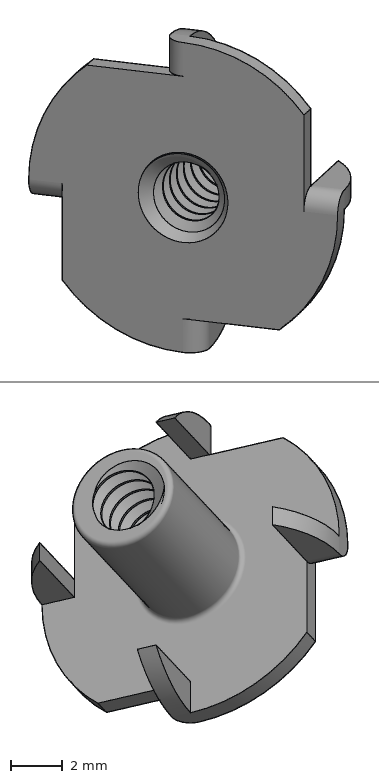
import cadquery as cq
import math

flange_radius = 6.35
sheet = 0.8
edge_offset = 4.97
prong_end = 3.96
prong_arc_radius = 4.32

barrel_length = 7.14
barrel_radius = 2.16
barrel_fillet = 0.2

minor_radius = 1.23
mouth_radius = 1.84
countersink_depth = mouth_radius - minor_radius
pitch = 0.8
crest_flat = 0.1
thread_phase = 30.0
thread_lead_in = pitch
thread_overlap = 0.03
flank_slope = math.tan(math.radians(30))


def about_axis(shape, angle):
    """Turn a shape about the part's Y axis."""
    return shape.rotate((0, 0, 0), (0, 1, 0), angle)


def edge_notch():
    """Material removed from the upper left quarter of the disc."""
    return cq.Workplane("XY").box(
        flange_radius, sheet, flange_radius, centered=False
    ).translate((-flange_radius, 0, edge_offset))


def prong():
    """Top prong: a tapered blade joined to the flange by a quarter-round bend."""
    blade = (
        cq.Workplane("YZ")
        .moveTo(0, edge_offset)
        .lineTo(prong_end, edge_offset)
        .radiusArc((sheet, flange_radius), -prong_arc_radius)
        .lineTo(0, flange_radius)
        .close()
        .extrude(-sheet)
    )
    envelope = (
        cq.Workplane("XY")
        .moveTo(0, 0)
        .radiusArc((-sheet, sheet), sheet)
        .lineTo(-sheet, prong_end)
        .lineTo(0, prong_end)
        .close()
        .extrude(flange_radius)
    )
    return blade.intersect(envelope)


def flange():
    body = cq.Workplane("XZ").circle(flange_radius).extrude(-sheet)
    for angle in (0, 90, 180, 270):
        body = body.cut(about_axis(edge_notch(), angle))
    for angle in (0, 90, 180, 270):
        body = body.union(about_axis(prong(), angle))
    return body


def barrel():
    """Solid barrel revolved about the Y axis, rounded at its root and tip."""
    return (
        cq.Workplane("XY")
        .moveTo(0, 0)
        .lineTo(barrel_radius + barrel_fillet, 0)
        .lineTo(barrel_radius + barrel_fillet, sheet)
        .radiusArc((barrel_radius, sheet + barrel_fillet), barrel_fillet)
        .lineTo(barrel_radius, barrel_length - barrel_fillet)
        .radiusArc((barrel_radius - barrel_fillet, barrel_length), -barrel_fillet)
        .lineTo(0, barrel_length)
        .close()
        .revolve(360, (0, 0, 0), (0, 1, 0))
    )


def bore():
    """Straight bore with a conical mouth in the flange face."""
    return (
        cq.Workplane("XY")
        .moveTo(0, 0)
        .lineTo(mouth_radius, 0)
        .lineTo(minor_radius, countersink_depth)
        .lineTo(minor_radius, barrel_length)
        .lineTo(0, barrel_length)
        .close()
        .revolve(360, (0, 0, 0), (0, 1, 0))
    )


def thread_groove():
    """Right-hand V groove bounded by three helical faces, running past both ends of the bore."""
    half_width = (pitch - crest_flat) / 2
    groove_depth = half_width / flank_slope
    inner_radius = minor_radius - thread_overlap
    inner_half = half_width + thread_overlap * flank_slope
    groove_length = barrel_length + 2 * thread_lead_in

    def corner_helix(radius, offset):
        helix = cq.Wire.makeHelix(pitch, groove_length, radius)
        return helix.translate(cq.Vector(0, 0, offset))

    lower = corner_helix(inner_radius, -inner_half)
    root = corner_helix(minor_radius + groove_depth, 0)
    upper = corner_helix(inner_radius, inner_half)
    sides = [
        cq.Face.makeRuledSurface(lower, root),
        cq.Face.makeRuledSurface(root, upper),
        cq.Face.makeRuledSurface(upper, lower),
    ]
    ends = []
    for end in (0, 1):
        corners = [helix.positionAt(end) for helix in (lower, root, upper)]
        ends.append(cq.Face.makeFromWires(cq.Wire.makePolygon(corners, close=True)))
    groove = cq.Workplane(cq.Solid.makeSolid(cq.Shell.makeShell(sides + ends)))
    groove = groove.rotate((0, 0, 0), (1, 0, 0), -90).translate((0, -thread_lead_in, 0))
    return about_axis(groove, thread_phase)


threaded = flange().union(barrel()).cut(bore()).cut(thread_groove())
result = about_axis(threaded, 180)